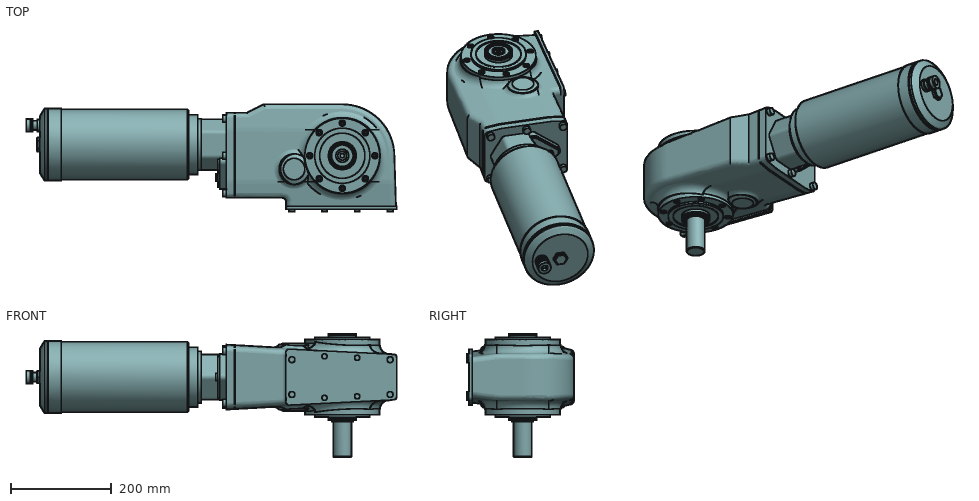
import cadquery as cq
import math


motor_y = 22.0
motor_tip_x = -628.0
cap_x = -601.0
cap_face_dia = 113.5
cap_bevel_x = -594.0
cap_bevel_dia = 136.0
cap_rim_x = -591.0
cap_dia = 143.5
cap_seam_x = -586.0
cap_seam_depth = 1.0
cap_seam_width = 2.0
cap_end_x = -559.0
motor_dia = 141.0
motor_end_x = -305.0
motor_end_bevel = 4.0
shoulder_dia = 119.0
shoulder_end_x = -287.0
collar_dia = 103.0
collar_end_x = -280.0
neck_across_flats = 90.5
neck_corner_radius = 9.5

plug_across_flats = 25.0
plug_height = 6.5
plug_bevel = 2.0
gland_offset = 38.0
gland_steps = [(26.0, 8.0), (18.0, 2.0), (26.0, 3.0), (19.0, 9.0), (25.0, 5.0)]
gland_bore_dia = 12.5
gland_bore_depth = 8.0

housing_x = -230.5
cover_thick = 17.0
seam_width = 2.0
seam_depth = 1.0
half_height_front = 65.0
half_height_back = 46.0
crease_y = 51.5
crease_half_width = 4.5
side_slope = 0.13
side_y = 85.5
front_side_y = 84.0
shoulder_start_x = -190.0
shoulder_top_x = -156.0
top_y = 102.0
big_radius = 104.0
foot_y = -107.0
foot_left_x = -112.0
foot_right_x = 108.0
foot_plate_thick = 6.5
foot_plate_lip = 1.1
foot_corner_radius = 6.0
foot_inner_radius = 7.0
foot_left_z = 56.0
foot_right_z = 45.0
roof_drop = (half_height_front - half_height_back) / (foot_right_x - housing_x)
edge_radius = 11.0
rim_min_z = 29.5
margin = 1.0

cover_screw_dia = 15.0
cover_screw_height = 7.0
cover_screw_places = [(74.0, 51.5), (0.0, 54.5), (-74.5, 51.5)]
foot_screw_height = 4.5
foot_screws = [(-100.0, 34.5, 12.0), (-35.0, 41.0, 10.0), (29.5, 38.0, 10.0), (95.0, 34.5, 12.0)]

inspection_mid_y = -12.0
inspection_half_y = 60.0
inspection_half_z = 48.5
inspection_thick = 17.0
inspection_corner = 9.0
inspection_step = 4.0
inspection_screw_y = -43.5
inspection_screw_dia = 15.0
inspection_screw_height = 4.0

flare_sink = 0.4
flare_root = 4.5

boss_dia = 149.0
boss_z = 75.0
boss_flare_dia = 184.0
boss_flare_height = 15.5
boss_root_z = 37.0
ring_dia = 110.0
ring_z = 79.5
ring_recess_dia = 90.0
ring_recess_depth = 2.0
hub_dia = 55.0
hub_z = 86.0
hub_root_dia = 43.0
hub_notch_count = 32
hub_notch_width = 2.6
hub_notch_height = 3.0
boss_screw_circle = 129.5
boss_screw_count = 8
boss_screw_dia = 12.0
boss_screw_head_dia = 8.0
boss_socket_dia = 4.9
boss_screw_sink = 3.0
boss_screw_height = 1.5

idler_x = -96.0
idler_y = -26.5
idler_z = 68.0
idler_dia = 43.0
idler_body_dia = 60.5
idler_body_z = 63.0
idler_flare_dia = 85.5
idler_flare_height = 6.5
idler_web_width = 37.0

shaft_dia = 37.0
shaft_collar_dia = 43.0
shaft_collar_height = 2.0
shaft_end_z = -159.0
shaft_bevel = 1.5
hub_bore_dia = 26.0
hub_bore_depth = 4.0
hub_screw_dia = 18.0
hub_screw_height = 3.0
hub_socket_dia = 9.0


def x_rod(x, y, z, dia, length):
    return cq.Workplane("YZ", origin=(x, y, z)).circle(dia / 2).extrude(length)


def x_hexagon(x, y, across_flats, length):
    """Hexagonal bar along X with flats facing up and down."""
    corner_dia = across_flats / math.cos(math.pi / 6)
    return cq.Workplane("YZ", origin=(x, y, 0)).polygon(6, corner_dia).extrude(length)


def z_rod(x, y, z, dia, length):
    return cq.Workplane("XY", origin=(x, y, z)).circle(dia / 2).extrude(length)


def both_sides(solid):
    return solid.union(solid.mirror("XY"))


def roof_height(x):
    """Height of the flat roof strip above the mid-plane."""
    return half_height_front - roof_drop * (x - housing_x)


def make_motor():
    profile = (
        cq.Workplane("XY")
        .moveTo(cap_x, 0)
        .lineTo(cap_x, cap_face_dia / 2)
        .lineTo(cap_bevel_x, cap_bevel_dia / 2)
        .lineTo(cap_rim_x, cap_dia / 2)
        .lineTo(cap_end_x, cap_dia / 2)
        .lineTo(cap_end_x, motor_dia / 2)
        .lineTo(motor_end_x - motor_end_bevel, motor_dia / 2)
        .lineTo(motor_end_x, motor_dia / 2 - motor_end_bevel)
        .lineTo(motor_end_x, shoulder_dia / 2)
        .lineTo(shoulder_end_x, shoulder_dia / 2)
        .lineTo(shoulder_end_x, collar_dia / 2)
        .lineTo(collar_end_x, collar_dia / 2)
        .lineTo(collar_end_x, 0)
        .close()
    )
    motor = profile.revolve(360, (0, 0, 0), (1, 0, 0)).translate((0, motor_y, 0))
    seam = x_rod(cap_seam_x, motor_y, 0, cap_dia, cap_seam_width)
    seam = seam.cut(x_rod(cap_seam_x, motor_y, 0, cap_dia - 2 * cap_seam_depth, cap_seam_width))
    neck = x_hexagon(collar_end_x, motor_y, neck_across_flats, housing_x - collar_end_x)
    neck = neck.edges("|X").fillet(neck_corner_radius)
    return motor.cut(seam).union(neck)


def make_plug():
    plug = x_hexagon(cap_x - plug_height, motor_y, plug_across_flats, plug_height)
    return plug.faces("<X").chamfer(plug_bevel)


def make_gland():
    gland_y = motor_y + gland_offset
    x = motor_tip_x
    gland = None
    for dia, length in gland_steps:
        step = x_rod(x, gland_y, 0, dia, length)
        gland = step if gland is None else gland.union(step)
        x += length
    return gland.cut(x_rod(motor_tip_x, gland_y, 0, gland_bore_dia, gland_bore_depth))


def housing_section(x, half_height):
    """Cross-section across X: a flat top that falls away outside the two creases."""
    reach = big_radius + crease_half_width
    low = half_height - side_slope * (reach - crease_y)
    inner = crease_y - crease_half_width
    outer = crease_y + crease_half_width
    outer_z = half_height - side_slope * crease_half_width
    corners = [(outer, outer_z), (reach, low), (reach, -low), (outer, -outer_z)]
    corners_left = [(-y, -z) for y, z in corners]
    arc_z = half_height - side_slope * crease_half_width / 4
    return (
        cq.Workplane("YZ", origin=(x, 0, 0))
        .moveTo(-inner, half_height)
        .lineTo(inner, half_height)
        .threePointArc((crease_y, arc_z), corners[0])
        .lineTo(*corners[1])
        .lineTo(*corners[2])
        .lineTo(*corners[3])
        .threePointArc((crease_y, -arc_z), (inner, -half_height))
        .lineTo(-inner, -half_height)
        .threePointArc((-crease_y, -arc_z), corners_left[0])
        .lineTo(*corners_left[1])
        .lineTo(*corners_left[2])
        .lineTo(*corners_left[3])
        .threePointArc((-crease_y, arc_z), (-inner, half_height))
        .close()
    )


def make_envelope():
    """Tapered block that limits the housing height; it gets thinner toward the far end."""
    front = housing_section(housing_x, half_height_front).wires().val()
    back = housing_section(foot_right_x, half_height_back).wires().val()
    return cq.Workplane(obj=cq.Solid.makeLoft([front, back], True))


def make_housing():
    outline = (
        cq.Workplane("XY", origin=(0, 0, -half_height_front))
        .moveTo(housing_x, -front_side_y)
        .lineTo(housing_x, side_y)
        .lineTo(shoulder_start_x, side_y)
        .lineTo(shoulder_top_x, top_y)
        .lineTo(0, top_y)
        .tangentArcPoint((big_radius, top_y - big_radius), relative=False)
        .lineTo(foot_right_x - foot_plate_lip, foot_y)
        .lineTo(foot_left_x, foot_y)
        .lineTo(foot_left_x, -front_side_y)
        .close()
        .extrude(2 * half_height_front)
    )
    housing = outline.intersect(make_envelope())
    inner_corner = cq.selectors.NearestToPointSelector((foot_left_x, -front_side_y, 0))
    housing = housing.edges("|Z").edges(inner_corner).fillet(foot_inner_radius)
    rim = [edge for edge in housing.edges().vals() if is_rim(edge)]
    return housing.newObject(rim).fillet(edge_radius)


def is_rim(edge):
    """True for roof edges along the outline, leaving out the creases, the front and the foot."""
    middle = edge.Center()
    off_crease = abs(abs(middle.y) - crease_y) > 2 * crease_half_width
    at_roof = abs(middle.z) > rim_min_z
    return off_crease and at_roof and middle.x > housing_x + margin and middle.y > foot_y + margin


def make_foot_plate():
    """Thin mounting plate that fills the foot and stands a little proud of it."""
    def z_at(x):
        along = (x - foot_left_x) / (foot_right_x - foot_left_x)
        return foot_left_z + (foot_right_z - foot_left_z) * along

    corners = [(x, side * z_at(x)) for x, side in
               ((foot_left_x, -1), (foot_right_x, -1), (foot_right_x, 1), (foot_left_x, 1))]
    plate = cq.Workplane("XZ", origin=(0, foot_y + foot_plate_thick, 0)).polyline(corners).close()
    return plate.extrude(foot_plate_thick).edges("|Y").fillet(foot_corner_radius)


def make_foot_screws():
    screws = cq.Workplane("XY")
    for x, z, dia in foot_screws:
        places = [(x, z), (x, -z)]
        face = cq.Workplane("XZ", origin=(0, foot_y, 0))
        screws = screws.union(face.pushPoints(places).circle(dia / 2).extrude(foot_screw_height))
    return screws


def make_cover_seam():
    """Shallow notches on all four sides where the end cover meets the housing."""
    seam = cq.Workplane("XY", origin=(housing_x + cover_thick, 0, 0))
    span = 2 * big_radius
    blank = seam.box(seam_width, span, span)
    core = seam.box(seam_width, side_y + front_side_y - 2 * seam_depth, span)
    core = core.translate((0, (side_y - front_side_y) / 2, 0))
    seam_height = roof_height(housing_x + cover_thick) - seam_depth
    section = housing_section(housing_x + cover_thick - seam_width / 2, seam_height).extrude(seam_width)
    return blank.cut(core.intersect(section))


def make_cover_screws():
    screws = cq.Workplane("XY")
    for y, z in cover_screw_places:
        for side in (-1, 1):
            head_x = housing_x - cover_screw_height
            screws = screws.union(x_rod(head_x, y, side * z, cover_screw_dia, cover_screw_height))
    return screws


def make_inspection_layer(inset, thick):
    """Diamond-shaped plate with rounded corners lying against the end cover."""
    half_y = inspection_half_y - inset
    half_z = inspection_half_z - inset
    corners = [(-half_y, 0), (0, half_z), (half_y, 0), (0, -half_z)]
    plate = cq.Workplane("YZ", origin=(housing_x - thick, inspection_mid_y, 0))
    return plate.polyline(corners).close().extrude(thick).edges("|X").fillet(inspection_corner)


def make_inspection_cover():
    cover = make_inspection_layer(0, inspection_thick - inspection_step)
    cover = cover.union(make_inspection_layer(inspection_step, inspection_thick))
    length = inspection_thick + inspection_screw_height
    return cover.union(x_rod(housing_x - length, inspection_screw_y, 0, inspection_screw_dia, length))


def make_flare(x, y, flare_dia, body_dia, height, sides):
    """Concave skirt around a boss, tilted to lie on each roof face that it reaches.

    sides lists those faces: -1 and 1 for the sloping ones, 0 for the flat middle.
    """
    width = (flare_dia - body_dia) / 2
    radius = (width ** 2 + height ** 2) / (2 * height)
    half_turn = math.atan2(width, radius - height) / 2
    arc_mid = (flare_dia / 2 - radius * math.sin(half_turn), radius * (1 - math.cos(half_turn)))
    skirt = (
        cq.Workplane("XZ")
        .moveTo(0, -flare_root)
        .lineTo(flare_dia / 2, -flare_root)
        .lineTo(flare_dia / 2, 0)
        .threePointArc(arc_mid, (body_dia / 2, height))
        .lineTo(0, height)
        .close()
        .revolve(360, (0, 0, 0), (0, 1, 0))
    )
    ridge_z = roof_height(x) - flare_sink
    pitch = math.degrees(math.atan(roof_drop))
    roll = math.degrees(math.atan(side_slope))
    span = 4 * big_radius
    flare = cq.Workplane("XY")
    for side in sides:
        z = ridge_z - abs(side) * side_slope * (side * y - crease_y)
        tilted = skirt.rotate((0, 0, 0), (1, 0, 0), -side * roll).rotate((0, 0, 0), (0, 1, 0), pitch)
        strip_width = span if side else 2 * crease_y
        strip_y = side * (crease_y + span / 2)
        strip = cq.Workplane("XY", origin=(0, strip_y, 0)).box(span, strip_width, span)
        flare = flare.union(tilted.translate((x, y, z)).intersect(strip))
    return flare


def make_boss():
    boss = (
        cq.Workplane("XZ")
        .moveTo(0, boss_root_z)
        .lineTo(boss_dia / 2, boss_root_z)
        .lineTo(boss_dia / 2, boss_z)
        .lineTo(ring_dia / 2, boss_z)
        .lineTo(ring_dia / 2, ring_z)
        .lineTo(ring_recess_dia / 2, ring_z)
        .lineTo(ring_recess_dia / 2, ring_z - ring_recess_depth)
        .lineTo(hub_dia / 2, ring_z - ring_recess_depth)
        .lineTo(hub_dia / 2, hub_z)
        .lineTo(0, hub_z)
        .close()
        .revolve(360, (0, 0, 0), (0, 1, 0))
    )
    notches = (
        cq.Workplane("XY", origin=(0, 0, hub_z - hub_notch_height))
        .polarArray((hub_dia + hub_root_dia) / 4, 0, 360, hub_notch_count)
        .rect((hub_dia - hub_root_dia) / 2, hub_notch_width)
        .extrude(hub_notch_height)
    )

    def at_screws(dia, height):
        places = cq.Workplane("XY", origin=(0, 0, boss_z - boss_screw_sink))
        places = places.polarArray(boss_screw_circle / 2, 0, 360, boss_screw_count)
        return places.circle(dia / 2).extrude(height)

    flare = make_flare(0, 0, boss_flare_dia, boss_dia, boss_flare_height, (-1, 0, 1))
    boss = boss.cut(notches).union(flare)
    boss = boss.cut(at_screws(boss_screw_dia, boss_screw_sink))
    boss = boss.union(at_screws(boss_screw_head_dia, boss_screw_height))
    return boss.cut(at_screws(boss_socket_dia, boss_screw_height))


def make_idler_boss():
    boss = (
        cq.Workplane("XZ")
        .moveTo(0, boss_root_z)
        .lineTo(idler_body_dia / 2, boss_root_z)
        .lineTo(idler_body_dia / 2, idler_body_z)
        .lineTo(idler_dia / 2, idler_z)
        .lineTo(0, idler_z)
        .close()
        .revolve(360, (0, 0, 0), (0, 1, 0))
        .translate((idler_x, idler_y, 0))
    )
    reach = math.hypot(idler_x, idler_y) - boss_dia / 4
    web = cq.Workplane("XY").box(reach, idler_web_width, idler_body_z - boss_root_z, (False, True, False))
    direction = math.degrees(math.atan2(-idler_y, -idler_x))
    web = web.rotate((0, 0, 0), (0, 0, 1), direction).translate((idler_x, idler_y, boss_root_z))
    flare = make_flare(idler_x, idler_y, idler_flare_dia, idler_body_dia, idler_flare_height, (-1, 0))
    return boss.union(web).union(flare)


def make_shaft():
    shaft = z_rod(0, 0, shaft_end_z, shaft_dia, -shaft_end_z).faces("<Z").chamfer(shaft_bevel)
    collar_z = -hub_z - shaft_collar_height
    return shaft.union(z_rod(0, 0, collar_z, shaft_collar_dia, shaft_collar_height))


def cut_hub_bore(body):
    """Recess in the upper hub with a socket-head screw at its floor."""
    floor_z = hub_z - hub_bore_depth
    body = body.cut(z_rod(0, 0, floor_z, hub_bore_dia, hub_bore_depth))
    body = body.union(z_rod(0, 0, floor_z, hub_screw_dia, hub_screw_height))
    return body.cut(z_rod(0, 0, floor_z, hub_socket_dia, hub_screw_height))


result = make_housing().cut(make_cover_seam())
for side_boss in (make_boss(), make_idler_boss()):
    result = result.union(both_sides(side_boss))
for make_part in (make_motor, make_plug, make_gland, make_foot_plate, make_foot_screws,
                  make_cover_screws, make_inspection_cover, make_shaft):
    result = result.union(make_part())
result = cut_hub_bore(result)